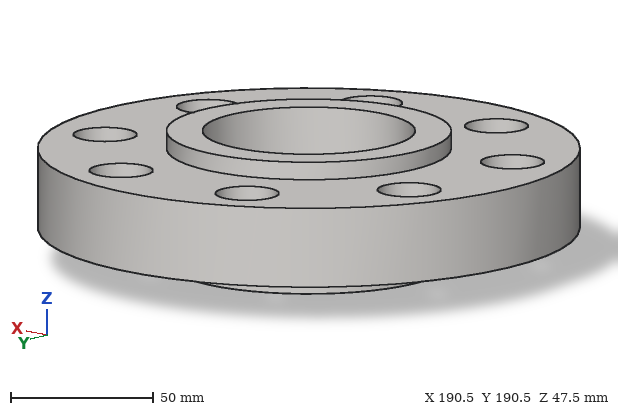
import cadquery as cq

flange_diameter = 190.5
flange_thickness = 28.4
hub_diameter = 100.0
lower_hub_height = 12.8
raised_face_height = 6.3
bore_diameter = 74.7
bolt_circle_diameter = 149.4
bolt_hole_diameter = 22.3
bolt_hole_count = 8

total_height = lower_hub_height + flange_thickness + raised_face_height
half_hole_spacing = 360 / bolt_hole_count / 2


def cylinder(diameter, height, base_z):
    """Upright cylinder on the part axis."""
    return cq.Workplane("XY").workplane(offset=base_z).circle(diameter / 2).extrude(height)


flange = cylinder(flange_diameter, flange_thickness, 0)
hub = cylinder(hub_diameter, total_height, -lower_hub_height)

bore = cylinder(bore_diameter, total_height, -lower_hub_height)

bolt_holes = (
    cq.Workplane("XY")
    .polarArray(bolt_circle_diameter / 2, half_hole_spacing, 360, bolt_hole_count)
    .circle(bolt_hole_diameter / 2)
    .extrude(flange_thickness)
)

result = flange.union(hub).cut(bore).cut(bolt_holes)